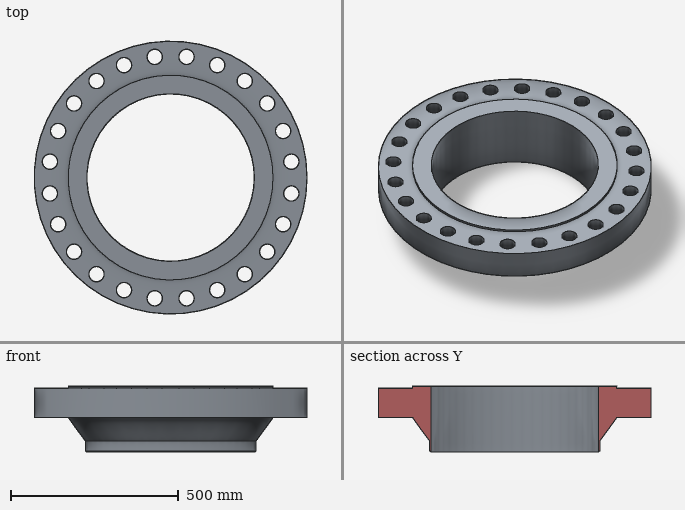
import cadquery as cq

total_height = 197.0
raised_face_height = 6.5
flange_thickness = 88.0
weld_end_height = 33.0
flange_top = total_height - raised_face_height
flange_bottom = flange_top - flange_thickness

flange_diameter = 813.0
raised_face_diameter = 610.0
hub_base_diameter = 610.0
weld_end_diameter = 509.0
bore_diameter = 497.5

bevel_width = 5.0
bevel_height = 4.0

bolt_count = 24
bolt_circle_diameter = 725.0
bolt_hole_diameter = 45.0
bolt_pitch_angle = 360 / bolt_count


def revolved_body():
    """Weld-neck flange turned about Z, bore included."""
    bore_radius = bore_diameter / 2
    weld_end_radius = weld_end_diameter / 2
    hub_base_radius = hub_base_diameter / 2
    flange_radius = flange_diameter / 2
    raised_face_radius = raised_face_diameter / 2
    return (
        cq.Workplane("XZ")
        .moveTo(bore_radius, 0)
        .lineTo(weld_end_radius - bevel_width, 0)
        .lineTo(weld_end_radius, bevel_height)
        .lineTo(weld_end_radius, weld_end_height)
        .lineTo(hub_base_radius, flange_bottom)
        .lineTo(flange_radius, flange_bottom)
        .lineTo(flange_radius, flange_top)
        .lineTo(raised_face_radius, flange_top)
        .lineTo(raised_face_radius, total_height)
        .lineTo(bore_radius, total_height)
        .close()
        .revolve(360, (0, 0, 0), (0, 1, 0))
    )


def bolt_holes():
    """Through-hole cutters, straddling the X and Y axes by half a pitch."""
    return (
        cq.Workplane("XY")
        .workplane(offset=flange_bottom)
        .polarArray(bolt_circle_diameter / 2, bolt_pitch_angle / 2, 360, bolt_count)
        .circle(bolt_hole_diameter / 2)
        .extrude(flange_thickness)
    )


result = revolved_body().cut(bolt_holes())